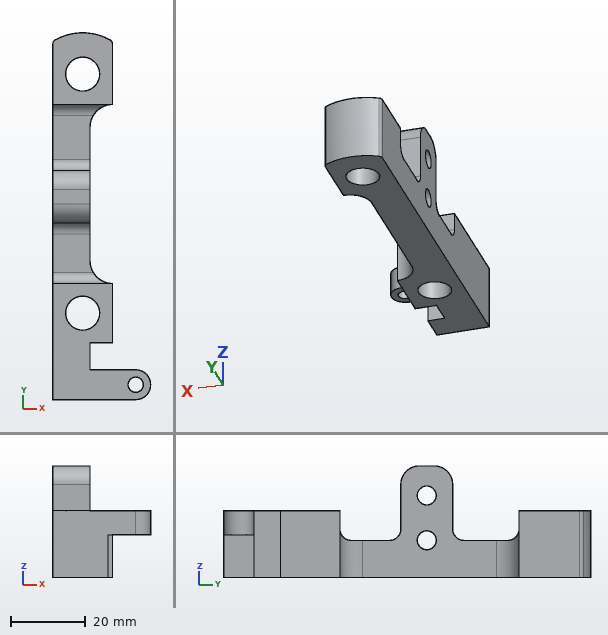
import cadquery as cq
import math

length = 98.3
block_width = 16.0
web_width = 10.0
block_height = 18.0
end_radius = 14.9
end_corner_radius = 1.3

recess_start = 31.2
recess_end = 79.1
recess_floor = 10.0
recess_fillet = 2.95
plan_fillet = block_width - web_width

post_center = 54.4
post_width = 14.0
post_top = 30.0
post_radius = 5.0
cross_hole_diameter = 5.0
cross_hole_heights = (recess_floor, 22.0)

mount_hole_diameter = 9.0
mount_hole_x = block_width / 2
mount_hole_ys = (23.2, 87.2)

arm_reach = 26.3
arm_width = 8.1
arm_thickness = 6.5
arm_hole_diameter = 4.0
arm_tip_x = arm_reach - arm_width / 2
foot_width = 14.8
notch_end = 15.2


def side_profile():
    """Bar, recess and post as seen along X, extruded over the block width."""
    post_start = post_center - post_width / 2
    post_end = post_center + post_width / 2
    body = (
        cq.Workplane("YZ")
        .moveTo(0, 0)
        .lineTo(length, 0)
        .lineTo(length, block_height)
        .lineTo(recess_end, block_height)
        .lineTo(recess_end, recess_floor)
        .lineTo(post_end, recess_floor)
        .lineTo(post_end, post_top)
        .lineTo(post_start, post_top)
        .lineTo(post_start, recess_floor)
        .lineTo(recess_start, recess_floor)
        .lineTo(recess_start, block_height)
        .lineTo(0, block_height)
        .close()
        .extrude(block_width)
    )
    middle = block_width / 2
    for y in (recess_start, post_start, post_end, recess_end):
        corner = cq.selectors.NearestToPointSelector((middle, y, recess_floor))
        body = body.edges(corner).fillet(recess_fillet)
    return body.edges("|X and >Z").fillet(post_radius)


def plan_outline():
    """Bar outline seen from above, with the narrow web and the crowned far end
    with softened corners.
    """
    half_width = block_width / 2
    crown_start = length - end_radius + math.sqrt(end_radius**2 - half_width**2)
    outline = (
        cq.Workplane("XY")
        .moveTo(0, 0)
        .lineTo(web_width, 0)
        .lineTo(web_width, notch_end)
        .lineTo(block_width, notch_end)
        .lineTo(block_width, recess_start)
        .radiusArc((web_width, recess_start + plan_fillet), plan_fillet)
        .lineTo(web_width, recess_end - plan_fillet)
        .radiusArc((block_width, recess_end), plan_fillet)
        .lineTo(block_width, crown_start)
        .threePointArc((half_width, length), (0, crown_start))
        .close()
    )
    plan = outline.extrude(post_top)
    return plan.edges("|Z").edges(">Y").fillet(end_corner_radius)


def side_arm():
    """Round-tipped arm flush with the block top, carried by a shorter full-height foot."""
    tip_radius = arm_width / 2
    arm = (
        cq.Workplane("XY", origin=(0, 0, block_height - arm_thickness))
        .lineTo(arm_tip_x, 0)
        .threePointArc((arm_reach, tip_radius), (arm_tip_x, arm_width))
        .lineTo(0, arm_width)
        .close()
        .extrude(arm_thickness)
    )
    foot = cq.Workplane("XY").box(foot_width, arm_width, block_height, centered=False)
    return arm.union(foot)


def vertical_holes(points, diameter):
    return cq.Workplane("XY").pushPoints(points).circle(diameter / 2).extrude(block_height)


mount_holes = vertical_holes([(mount_hole_x, y) for y in mount_hole_ys], mount_hole_diameter)
arm_hole = vertical_holes([(arm_tip_x, arm_width / 2)], arm_hole_diameter)
cross_holes = (
    cq.Workplane("YZ")
    .pushPoints([(post_center, z) for z in cross_hole_heights])
    .circle(cross_hole_diameter / 2)
    .extrude(block_width)
)

bar = side_profile().intersect(plan_outline())
result = bar.union(side_arm()).cut(mount_holes).cut(arm_hole).cut(cross_holes)